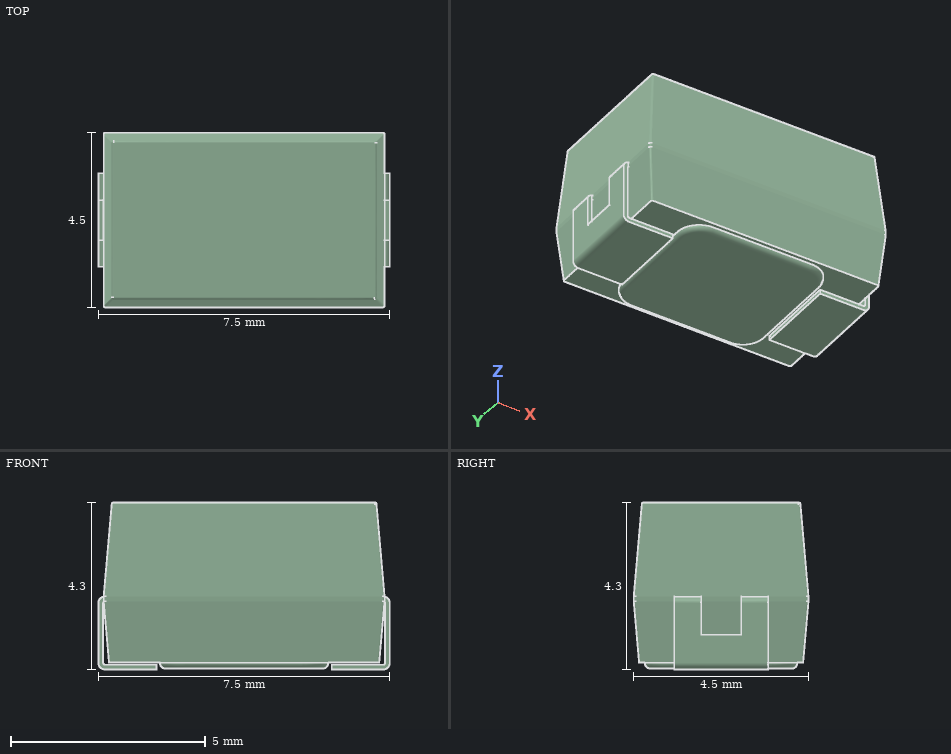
import cadquery as cq
import math

overall_length = 7.5
overall_height = 4.3

case_length = 7.23
case_width = 4.5
case_bottom = 0.18
band_top = 1.88
draft_angle = 5.0
corner_radius = 0.05
top_edge_radius = 0.045

pad_length = 4.335
pad_width = 3.93
pad_bottom = 0.02
pad_corner_radius = 0.66
pad_edge_radius = 0.15

strip_thickness = 0.13
lead_width = 2.415
foot_length = 1.5
bend_outer_radius = 0.17
bend_inner_radius = bend_outer_radius - strip_thickness
tab_depth = 0.3
notch_width = 1.03
notch_bottom = 0.89

band_bottom = band_top - strip_thickness


def tapered_half(start_z, height):
    """Half of the case narrowing away from the band; a negative height goes down."""
    inset = abs(height) * math.tan(math.radians(draft_angle))
    return (
        cq.Workplane("XY", origin=(0, 0, start_z))
        .rect(case_length, case_width)
        .workplane(offset=height)
        .rect(case_length - 2 * inset, case_width - 2 * inset)
        .loft(ruled=True)
        .edges("not(#Z or |X or |Y)")
        .fillet(corner_radius)
    )


def make_pad():
    """Rounded rectangular pad on the underside, with a rounded lower rim."""
    return (
        cq.Workplane("XY", origin=(0, 0, pad_bottom))
        .rect(pad_length, pad_width)
        .extrude(case_bottom - pad_bottom)
        .edges("|Z")
        .fillet(pad_corner_radius)
        .faces("<Z")
        .edges()
        .fillet(pad_edge_radius)
    )


def make_case(leads):
    """Case with its pad, recessed where the lead tabs enter."""
    band = (
        cq.Workplane("XY", origin=(0, 0, band_bottom))
        .rect(case_length, case_width)
        .extrude(strip_thickness)
        .edges("|Z")
        .fillet(corner_radius)
    )
    upper = tapered_half(band_top, overall_height - band_top)
    upper = upper.faces(">Z").edges().fillet(top_edge_radius)
    lower = tapered_half(band_bottom, case_bottom - band_bottom)
    case = band.union(upper).union(lower).union(make_pad())
    for lead in leads:
        case = case.cut(lead)
    return case


def make_lead(side):
    """C-shaped lead at the -X end (side = -1) or the +X end (side = 1)."""
    outer_x = overall_length / 2
    inner_x = outer_x - strip_thickness
    foot_end = outer_x - foot_length
    tab_end = case_length / 2 - tab_depth

    def bent_block(x_start, x_end, z_start, z_end, radius):
        """Block across the lead width with its two outward edges rounded."""
        return (
            cq.Workplane("XY")
            .box(x_end - x_start, lead_width, z_end - z_start, centered=(False, True, False))
            .translate((x_start, 0, z_start))
            .edges(">X and |Y")
            .fillet(radius)
        )

    outer = bent_block(foot_end, outer_x, 0, band_top, bend_outer_radius)
    inner = bent_block(foot_end, inner_x, strip_thickness, band_bottom, bend_inner_radius)
    lead = outer.cut(inner)

    trim = cq.Workplane("XY").box(
        tab_end - foot_end, lead_width, strip_thickness, centered=(False, True, False)
    )
    lead = lead.cut(trim.translate((foot_end, 0, band_bottom)))

    notch = cq.Workplane("XY").box(
        outer_x - tab_end, notch_width, band_top - notch_bottom, centered=(False, True, False)
    )
    lead = lead.cut(notch.translate((tab_end, 0, notch_bottom)))

    if side < 0:
        lead = lead.mirror("YZ")
    return lead


leads = [make_lead(side) for side in (-1, 1)]
case = make_case(leads)

result = cq.Compound.makeCompound([case.solids().val(), *[lead.solids().val() for lead in leads]])